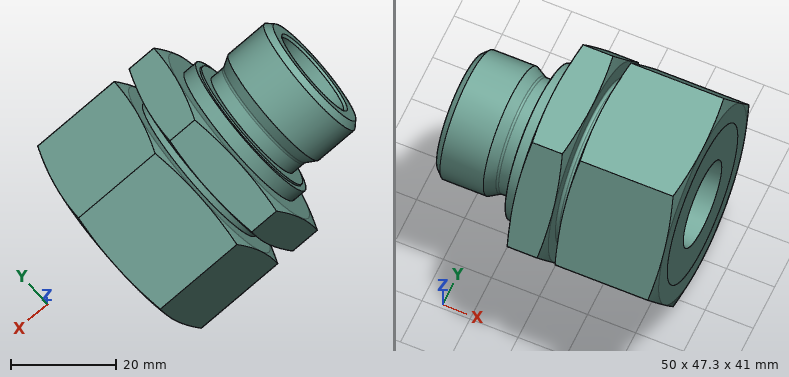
import cadquery as cq
import math


HEX_SIDES = 6
ACROSS_FLATS = 41.0
CORNER_RADIUS = ACROSS_FLATS / math.sqrt(3)
HEX_CHAMFER_ANGLE = 15.0
FITTING_HEX_FACE_RADIUS = 20.4
NUT_FACE_RADIUS = ACROSS_FLATS / 2

STUD_THREAD_END = 10.3
SEAL_FRONT = 15.7
COLLAR_START = 16.05
HEX_START = 19.0
HEX_END = 27.0
NUT_START = 29.0
NUT_END = 50.0

STUD_RADIUS = 13.25
STUD_CHAMFER_LENGTH = 1.3
STUD_TIP_RADIUS = 12.0
RELIEF_ANGLE = 30.0
NECK_RADIUS = 11.9
NECK_FILLET = 1.0

COLLAR_RADIUS = 16.0
SPIGOT_RADIUS = 16.5
SPIGOT_FILLET = 0.6
BORE_RADIUS = 9.0
BORE_MOUTH_CHAMFER = 0.5

SEAL_RADIUS = 14.65
RECESS_RADIUS = 14.7
SEAL_THICKNESS = 1.5
SEAL_BACK = SEAL_FRONT + SEAL_THICKNESS


def disc(start, end, radius):
    """Cylinder about the X axis."""
    return cq.Workplane("YZ", origin=(start, 0, 0)).circle(radius).extrude(end - start)


def chamfered_hexagon(start, end, face_radius):
    """Hexagonal prism with corners on the Y axis, both ends turned to a shallow cone."""
    prism = cq.Workplane("YZ", origin=(start, 0, 0)).polygon(HEX_SIDES, 2 * CORNER_RADIUS).extrude(end - start)
    cone_length = (CORNER_RADIUS - face_radius) * math.tan(math.radians(HEX_CHAMFER_ANGLE))
    turned_blank = (
        cq.Workplane("XY")
        .moveTo(start, 0)
        .lineTo(start, face_radius)
        .lineTo(start + cone_length, CORNER_RADIUS)
        .lineTo(end - cone_length, CORNER_RADIUS)
        .lineTo(end, face_radius)
        .lineTo(end, 0)
        .close()
        .revolve(360, (0, 0, 0), (1, 0, 0))
    )
    return prism.intersect(turned_blank)


def make_stud():
    """Threaded end and its relief neck, running on to the bottom of the seal recess."""
    slope = math.radians(RELIEF_ANGLE)
    fillet_start_radius = NECK_RADIUS + NECK_FILLET * (1 - math.cos(slope))
    fillet_start = STUD_THREAD_END + (STUD_RADIUS - fillet_start_radius) / math.tan(slope)
    fillet_end = fillet_start + NECK_FILLET * math.sin(slope)
    fillet_middle = (
        fillet_end - NECK_FILLET * math.sin(slope / 2),
        NECK_RADIUS + NECK_FILLET * (1 - math.cos(slope / 2)),
    )
    return (
        cq.Workplane("XY")
        .moveTo(0, 0)
        .lineTo(0, STUD_TIP_RADIUS)
        .lineTo(STUD_CHAMFER_LENGTH, STUD_RADIUS)
        .lineTo(STUD_THREAD_END, STUD_RADIUS)
        .lineTo(fillet_start, fillet_start_radius)
        .threePointArc(fillet_middle, (fillet_end, NECK_RADIUS))
        .lineTo(SEAL_BACK, NECK_RADIUS)
        .lineTo(SEAL_BACK, 0)
        .close()
        .revolve(360, (0, 0, 0), (1, 0, 0))
    )


def make_spigot():
    """Plain cylinder that carries the nut, filleted where it leaves the hexagon."""
    root_radius = SPIGOT_RADIUS + SPIGOT_FILLET
    fillet_reach = SPIGOT_FILLET * math.sqrt(0.5)
    return (
        cq.Workplane("XY")
        .moveTo(HEX_END, 0)
        .lineTo(HEX_END, root_radius)
        .threePointArc(
            (HEX_END + SPIGOT_FILLET - fillet_reach, root_radius - fillet_reach),
            (HEX_END + SPIGOT_FILLET, SPIGOT_RADIUS),
        )
        .lineTo(NUT_END, SPIGOT_RADIUS)
        .lineTo(NUT_END, 0)
        .close()
        .revolve(360, (0, 0, 0), (1, 0, 0))
    )


def make_fitting():
    """Stud, recessed collar, hexagon and spigot in one piece, bored through."""
    seal_recess = disc(COLLAR_START, SEAL_BACK, RECESS_RADIUS)
    collar = disc(COLLAR_START, HEX_START, COLLAR_RADIUS).cut(seal_recess)
    hexagon = chamfered_hexagon(HEX_START, HEX_END, FITTING_HEX_FACE_RADIUS)
    solid = collar.union(make_stud()).union(hexagon).union(make_spigot())
    bored = solid.cut(disc(0, NUT_END, BORE_RADIUS))
    bore_mouth = bored.faces("<X").edges(cq.selectors.RadiusNthSelector(0))
    return bore_mouth.chamfer(BORE_MOUTH_CHAMFER)


def make_seal():
    """Flat ring around the neck, standing slightly proud of the collar."""
    return disc(SEAL_FRONT, SEAL_BACK, SEAL_RADIUS).cut(disc(SEAL_FRONT, SEAL_BACK, NECK_RADIUS))


def make_nut():
    """Hexagonal nut with a plain hole that fits the spigot."""
    hexagon = chamfered_hexagon(NUT_START, NUT_END, NUT_FACE_RADIUS)
    return hexagon.cut(disc(NUT_START, NUT_END, SPIGOT_RADIUS))


fitting = make_fitting()
seal = make_seal()
nut = make_nut()

result = cq.Compound.makeCompound([fitting.val(), seal.val(), nut.val()])